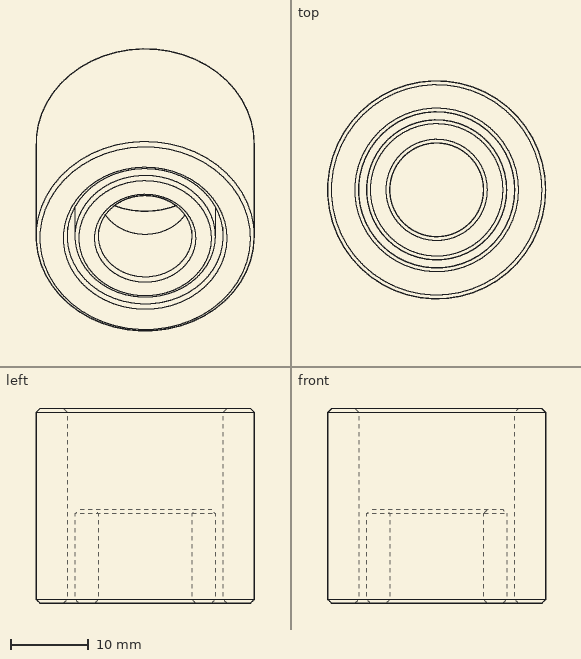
import cadquery as cq

edge_chamfer = 0.5

outer_ring_diameter = 28.0
outer_ring_bore = 20.0
outer_ring_height = 25.0

inner_ring_diameter = 18.0
inner_ring_bore = 12.0
inner_ring_height = 12.0


def chamfered_ring(diameter, bore, height):
    """Plain ring with its base at Z = 0 and all four circular edges chamfered."""
    ring = cq.Workplane("XY").circle(diameter / 2).circle(bore / 2).extrude(height)
    return ring.faces("<Z or >Z").edges().chamfer(edge_chamfer)


outer_ring = chamfered_ring(outer_ring_diameter, outer_ring_bore, outer_ring_height)

inner_ring = chamfered_ring(inner_ring_diameter, inner_ring_bore, inner_ring_height)

result = cq.Compound.makeCompound([outer_ring.val(), inner_ring.val()])